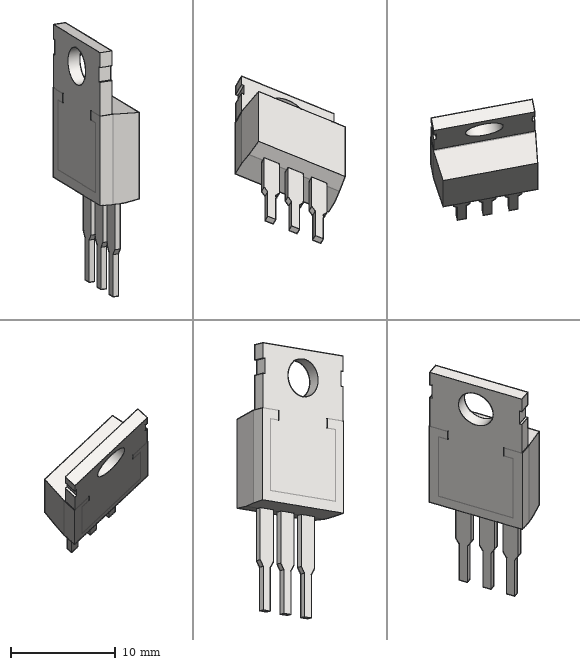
import cadquery as cq
import math


overall_height = 25.6
lead_length = 9.98

body_width = 10.0
body_depth = 4.4
body_top = 9.22
straight_depth = 1.4
draft_angle = math.radians(7)
lead_plane = 2.7
bottom_angle = math.radians(3.8)

tab_top = overall_height - lead_length
tab_thickness = 1.3
tab_width = 9.9
hole_diameter = 3.7
hole_drop = 2.8
notch_depth = 0.25
notch_height = 1.5
notch_drop = 1.5

pad_width = 8.0
pad_bottom = 1.22
arm_gap = 6.02
neck_clearance = 0.05
arm_height = 0.95

lead_pitch = 2.54
lead_count = 3
lead_thickness = 0.6
lead_wide = 1.64
lead_narrow = 0.88
shoulder_top = -5.1
shoulder_bottom = -5.7
lead_root = 1.0


def box(x_size, y_start, y_end, z_start, z_end):
    """Box centred on X = 0, between the given Y and Z limits."""
    corner_box = cq.Workplane("XY").box(x_size, y_end - y_start, z_end - z_start, centered=(True, False, False))
    return corner_box.translate((0, y_start, z_start))


def make_body():
    """Body with a drafted back, as the overlap of its side profile and its plan."""
    drafted_depth = body_depth - straight_depth
    draft_inset = drafted_depth * math.tan(draft_angle)
    front_rise = lead_plane * math.tan(bottom_angle)
    back_rise = (body_depth - lead_plane) * math.tan(bottom_angle)
    half_width = body_width / 2

    side_profile = (
        cq.Workplane("YZ")
        .moveTo(0, front_rise)
        .lineTo(lead_plane, 0)
        .lineTo(body_depth, back_rise)
        .lineTo(body_depth, body_top - draft_inset)
        .lineTo(straight_depth, body_top)
        .lineTo(0, body_top)
        .close()
        .extrude(half_width, both=True)
    )
    plan = (
        cq.Workplane("XY")
        .moveTo(-half_width, 0)
        .lineTo(half_width, 0)
        .lineTo(half_width, straight_depth)
        .lineTo(half_width - draft_inset, body_depth)
        .lineTo(draft_inset - half_width, body_depth)
        .lineTo(-half_width, straight_depth)
        .close()
        .extrude(body_top)
    )
    return side_profile.intersect(plan)


def make_pad(neck_width):
    """T-shaped metal pad below the tab, with a neck of the given width between the arms."""
    neck_bottom = body_top - arm_height
    neck = box(neck_width, 0, tab_thickness, neck_bottom, body_top)
    pad = box(pad_width, 0, tab_thickness, pad_bottom, neck_bottom)
    return neck.union(pad)


def make_tab():
    """Tab above the body, with its mounting hole and two edge notches."""
    tab = box(tab_width, 0, tab_thickness, body_top, tab_top)
    hole = (
        cq.Workplane("XZ")
        .center(0, tab_top - hole_drop)
        .circle(hole_diameter / 2)
        .extrude(-body_depth)
    )
    tab = tab.cut(hole)
    notch_top = tab_top - notch_drop
    for side in (-1, 1):
        notch = box(2 * notch_depth, 0, body_depth, notch_top - notch_height, notch_top)
        tab = tab.cut(notch.translate((side * tab_width / 2, 0, 0)))
    return tab


def make_lead(x_center):
    """Flat lead that narrows at a sloped shoulder, rooted inside the body."""
    wide = lead_wide / 2
    narrow = lead_narrow / 2
    return (
        cq.Workplane("XZ", origin=(x_center, lead_plane - lead_thickness / 2, 0))
        .moveTo(-wide, lead_root)
        .lineTo(wide, lead_root)
        .lineTo(wide, shoulder_top)
        .lineTo(narrow, shoulder_bottom)
        .lineTo(narrow, -lead_length)
        .lineTo(-narrow, -lead_length)
        .lineTo(-narrow, shoulder_bottom)
        .lineTo(-wide, shoulder_top)
        .close()
        .extrude(-lead_thickness)
    )


metal = make_tab().union(make_pad(arm_gap - 2 * neck_clearance))
result = make_body().cut(make_pad(arm_gap)).union(metal, clean=False)
for index in range(lead_count):
    lead_x = (index - (lead_count - 1) / 2) * lead_pitch
    result = result.union(make_lead(lead_x), clean=False)